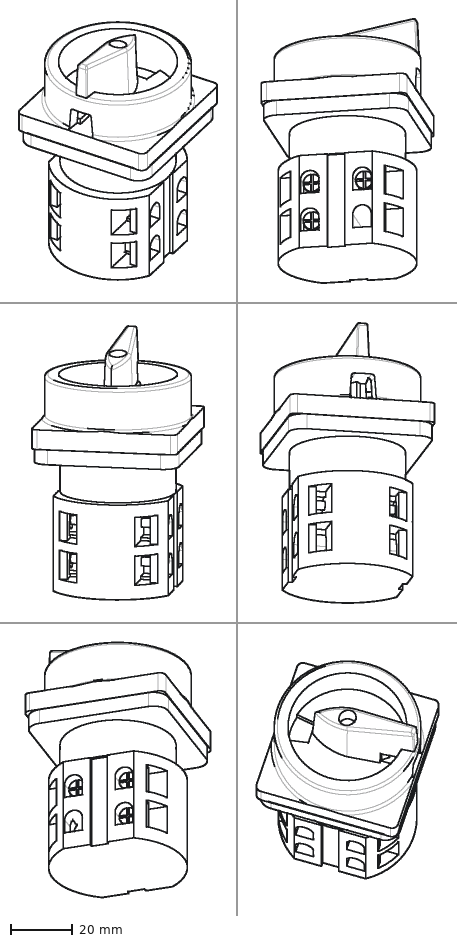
import cadquery as cq
import math

TOTAL_HEIGHT = 82.4
BLOCK_TOP = 31.7
LOWER_PLATE_BOTTOM = 44.6
PLATE_BOTTOM = 49.6
PLATE_TOP = 56.2
CAVITY_FLOOR = 58.2
RING_TOP = 70.8

PLATE_SIDE = 48.5
PLATE_CORNER = 2.1
LOWER_PLATE_SIDE = 48.1
LOWER_PLATE_CORNER = 5.2
NECK_RADIUS = 19.0

RING_RADIUS = LOWER_PLATE_SIDE / 2
RING_INNER_RADIUS = 19.45
RING_ROUND = 1.0

MARKER_INNER_Y = 12.3
MARKER_OUTER_Y = 21.4
MARKER_INNER_HALF = 3.7
MARKER_OUTER_HALF = 5.3

NOTCH_TOP = 64.7
NOTCH_ROUND = 1.1
NOTCH_OUTER_HALF_BOTTOM = 4.5
NOTCH_OUTER_HALF_TOP = 3.9
NOTCH_OUTER_Y = -24.7
NOTCH_INNER_Y = -18.5
NOTCH_FLARE = 0.3
NOTCH_END_Y = -MARKER_INNER_Y
FLOOR_SLOT_HALF = 2.9
WEDGE_HALF = 1.6
WEDGE_LENGTH = 2.15

HANDLE_TIP_Y = 12.1
HANDLE_WIDEST_Y = -1.15
HANDLE_HALF_WIDTH = 4.8
HANDLE_TAIL_Y = -24.05
HANDLE_TAIL_HALF = 2.55
HANDLE_DRAFT = 2.2
HANDLE_TOP_SLOPE = 12.0
HANDLE_PEAK_Y = -22.25
HANDLE_ROUND = 1.0
HANDLE_TAIL_ROUND = 0.4
HANDLE_HOLE_RADIUS = 2.8
HANDLE_HOLE_FLOOR = 70.85

BLOCK_RADIUS = 22.7
FLAT_X = 19.2
GROOVE_WIDTH = 5.85
GROOVE_DEPTH = 1.3

LEVEL_PITCH = 12.9
TUNNEL_Y = 8.7
TUNNEL_RADIUS = 3.05
TUNNEL_BOTTOM = 5.8
TUNNEL_CENTER = 10.4
WINDOW_BOTTOM = 4.8
WINDOW_HEIGHT = 9.7
WINDOW_INNER_X = 9.7
WINDOW_STEP_X = 13.8
WINDOW_OUTER_X = 16.4
WINDOW_STEP_Y = 15.6
WINDOW_FLOOR_Y = 10.8

SCREW_HEAD_RADIUS = 3.0
SCREW_HEAD_HEIGHT = 1.5
SCREW_SHANK_RADIUS = 1.5
SCREW_SLOT_WIDTH = 0.75
SCREW_SLOT_DEPTH = 0.5


def block(x_min, x_max, y_min, y_max, z_min, z_max):
    """Box given by its limits, taken in either order."""
    center = ((x_min + x_max) / 2, (y_min + y_max) / 2, (z_min + z_max) / 2)
    box = cq.Workplane("XY").box(abs(x_max - x_min), abs(y_max - y_min), abs(z_max - z_min))
    return box.translate(center)


def plate(side, corner, bottom, top):
    """Square plate with rounded vertical corners."""
    slab = cq.Workplane("XY").workplane(offset=bottom).rect(side, side).extrude(top - bottom)
    return slab.edges("|Z").fillet(corner)


def disc(radius, bottom, top):
    return cq.Workplane("XY").workplane(offset=bottom).circle(radius).extrude(top - bottom)


def guard_ring():
    """Ring with a rounded rim and a flared foot that is trimmed flush with the plate."""
    mid = RING_ROUND * math.sqrt(0.5)
    foot_radius = RING_RADIUS + RING_ROUND
    rim_radius = RING_RADIUS - RING_ROUND
    foot_center_z = PLATE_TOP + RING_ROUND
    rim_center_z = RING_TOP - RING_ROUND
    ring = (
        cq.Workplane("XZ")
        .moveTo(RING_INNER_RADIUS, PLATE_TOP)
        .lineTo(foot_radius, PLATE_TOP)
        .threePointArc((foot_radius - mid, foot_center_z - mid), (RING_RADIUS, foot_center_z))
        .lineTo(RING_RADIUS, rim_center_z)
        .threePointArc((rim_radius + mid, rim_center_z + mid), (rim_radius, RING_TOP))
        .lineTo(RING_INNER_RADIUS, RING_TOP)
        .close()
        .revolve(360, (0, 0, 0), (0, 1, 0))
    )
    return ring.intersect(plate(PLATE_SIDE, PLATE_CORNER, PLATE_TOP, RING_TOP))


def cavity_floor():
    """Raised floor inside the ring, with the marker recess at +Y and the padlock slot at -Y."""
    recess = (
        cq.Workplane("XY")
        .workplane(offset=PLATE_TOP)
        .polyline([
            (-MARKER_INNER_HALF, MARKER_INNER_Y),
            (MARKER_INNER_HALF, MARKER_INNER_Y),
            (MARKER_OUTER_HALF, MARKER_OUTER_Y),
            (-MARKER_OUTER_HALF, MARKER_OUTER_Y),
        ])
        .close()
        .extrude(CAVITY_FLOOR - PLATE_TOP)
    )
    slot = block(
        -FLOOR_SLOT_HALF, FLOOR_SLOT_HALF, NOTCH_END_Y, -RING_RADIUS, PLATE_TOP, CAVITY_FLOOR
    )
    floor = disc(RING_INNER_RADIUS, PLATE_TOP, CAVITY_FLOOR)
    return floor.cut(recess).cut(slot)


def handle():
    """Drafted pointer: pointed at +Y, tapering to a blunt tail at -Y, with a sloping top."""
    arc_rise = HANDLE_TIP_Y - HANDLE_WIDEST_Y
    arc_radius = (HANDLE_HALF_WIDTH**2 + arc_rise**2) / (2 * HANDLE_HALF_WIDTH)
    mid_y = HANDLE_WIDEST_Y + arc_rise / 2
    mid_x = HANDLE_HALF_WIDTH - arc_radius + math.sqrt(arc_radius**2 - (arc_rise / 2) ** 2)
    body = (
        cq.Workplane("XY")
        .workplane(offset=CAVITY_FLOOR)
        .moveTo(0, HANDLE_TIP_Y)
        .threePointArc((mid_x, mid_y), (HANDLE_HALF_WIDTH, HANDLE_WIDEST_Y))
        .lineTo(HANDLE_TAIL_HALF, HANDLE_TAIL_Y)
        .lineTo(-HANDLE_TAIL_HALF, HANDLE_TAIL_Y)
        .lineTo(-HANDLE_HALF_WIDTH, HANDLE_WIDEST_Y)
        .threePointArc((-mid_x, mid_y), (0, HANDLE_TIP_Y))
        .close()
        .extrude(TOTAL_HEIGHT - CAVITY_FLOOR + RING_ROUND, taper=HANDLE_DRAFT)
    )
    body = body.faces("<Y").edges("not #Z").fillet(HANDLE_TAIL_ROUND)
    reach = PLATE_SIDE
    above_top = (
        block(-reach, reach, -reach, reach, 0, reach)
        .rotate((0, 0, 0), (1, 0, 0), -HANDLE_TOP_SLOPE)
        .translate((0, HANDLE_PEAK_Y, TOTAL_HEIGHT))
    )
    body = body.cut(above_top)
    body = body.faces(">Z").edges().fillet(HANDLE_ROUND)
    return body.cut(disc(HANDLE_HOLE_RADIUS, HANDLE_HOLE_FLOOR, TOTAL_HEIGHT))


def ring_notch():
    """Padlock notch through the front of the ring, slightly wider at its outer end."""
    def section(y, narrowing):
        bottom = NOTCH_OUTER_HALF_BOTTOM - narrowing
        top = NOTCH_OUTER_HALF_TOP - narrowing
        corners = [(-bottom, PLATE_TOP), (bottom, PLATE_TOP), (top, NOTCH_TOP), (-top, NOTCH_TOP)]
        return cq.Wire.makePolygon([cq.Vector(x, y, z) for x, z in corners], close=True)

    outer = section(NOTCH_OUTER_Y, 0)
    inner = section(NOTCH_INNER_Y, NOTCH_FLARE)
    notch = cq.Workplane(cq.Solid.makeLoft([outer, inner], True))
    return notch.faces(">Z").edges("<X or >X").fillet(NOTCH_ROUND)


def tail_clearance():
    """Space under the handle tail; its inner end is a wall across the whole handle."""
    reach = PLATE_SIDE / 2
    return block(-reach, reach, NOTCH_END_Y, NOTCH_OUTER_Y, PLATE_TOP, NOTCH_TOP)


def wall_wedge():
    """Upright wedge on the wall at the inner end of the padlock space."""
    corners = [(-WEDGE_HALF, NOTCH_END_Y), (WEDGE_HALF, NOTCH_END_Y), (0, NOTCH_END_Y - WEDGE_LENGTH)]
    base = cq.Workplane("XY").workplane(offset=PLATE_TOP).polyline(corners).close()
    return base.extrude(NOTCH_TOP - PLATE_TOP)


def contact_block():
    """Round block with two flats, each with a shallow groove along Z."""
    body = disc(BLOCK_RADIUS, 0, BLOCK_TOP)
    body = body.intersect(block(-FLAT_X, FLAT_X, -BLOCK_RADIUS, BLOCK_RADIUS, 0, BLOCK_TOP))
    for side in (-1, 1):
        floor_x = side * (FLAT_X - GROOVE_DEPTH)
        body = body.cut(block(floor_x, side * FLAT_X, -GROOVE_WIDTH / 2, GROOVE_WIDTH / 2, 0, BLOCK_TOP))
    return body


def wire_window(side_x, side_y, level_z):
    """Stepped pocket for a wire, open to the round face of the block."""
    bottom = level_z + WINDOW_BOTTOM
    top = bottom + WINDOW_HEIGHT
    inner_x = side_x * WINDOW_INNER_X
    outside_y = side_y * BLOCK_RADIUS
    shallow = block(inner_x, side_x * WINDOW_OUTER_X, side_y * WINDOW_STEP_Y, outside_y, bottom, top)
    deep = block(inner_x, side_x * WINDOW_STEP_X, side_y * WINDOW_FLOOR_Y, outside_y, bottom, top)
    return shallow.union(deep)


def screw_tunnel(side_x, side_y, level_z, end_x):
    """Arched tunnel from a flat of the block inward to end_x."""
    y = side_y * TUNNEL_Y
    center_z = level_z + TUNNEL_CENTER
    start_x = side_x * FLAT_X
    floor_z = level_z + TUNNEL_BOTTOM
    lower = block(start_x, end_x, y - TUNNEL_RADIUS, y + TUNNEL_RADIUS, floor_z, center_z)
    return lower.union(rod(TUNNEL_RADIUS, start_x, end_x, y, center_z))


def rod(radius, start_x, end_x, y, z):
    """Cylinder along X."""
    return (
        cq.Workplane("YZ")
        .workplane(offset=min(start_x, end_x))
        .center(y, z)
        .circle(radius)
        .extrude(abs(end_x - start_x))
    )


def screw(side_x, side_y, level_z):
    """Cross-slotted screw standing on the end wall of its tunnel."""
    y = side_y * TUNNEL_Y
    z = level_z + TUNNEL_CENTER
    head_base = side_x * WINDOW_STEP_X
    head_face = side_x * (WINDOW_STEP_X + SCREW_HEAD_HEIGHT)
    slot_floor = head_face - side_x * SCREW_SLOT_DEPTH
    half_slot = SCREW_SLOT_WIDTH / 2
    radius = SCREW_HEAD_RADIUS
    head = rod(radius, head_base, head_face, y, z)
    head = head.cut(block(slot_floor, head_face, y - radius, y + radius, z - half_slot, z + half_slot))
    head = head.cut(block(slot_floor, head_face, y - half_slot, y + half_slot, z - radius, z + radius))
    return head.union(rod(SCREW_SHANK_RADIUS, side_x * WINDOW_INNER_X, head_base, y, z))


def contact_block_with_terminals():
    """Every terminal has a window, a tunnel and a screw, but one lower tunnel is empty and runs through."""
    body = contact_block()
    for level_z in (0, LEVEL_PITCH):
        for side_y in (-1, 1):
            is_through = level_z == 0 and side_y == -1
            for side_x in (-1, 1):
                end_x = 0 if is_through else side_x * WINDOW_INNER_X
                body = body.cut(wire_window(side_x, side_y, level_z))
                body = body.cut(screw_tunnel(side_x, side_y, level_z, end_x))
                if not is_through:
                    body = body.union(screw(side_x, side_y, level_z))
    return body


head = (
    plate(PLATE_SIDE, PLATE_CORNER, PLATE_BOTTOM, PLATE_TOP)
    .union(plate(LOWER_PLATE_SIDE, LOWER_PLATE_CORNER, LOWER_PLATE_BOTTOM, PLATE_BOTTOM))
    .union(guard_ring().cut(ring_notch()))
    .union(cavity_floor())
    .union(handle().cut(tail_clearance()))
    .union(wall_wedge())
)
neck = disc(NECK_RADIUS, BLOCK_TOP, LOWER_PLATE_BOTTOM)

result = contact_block_with_terminals().union(neck).union(head)